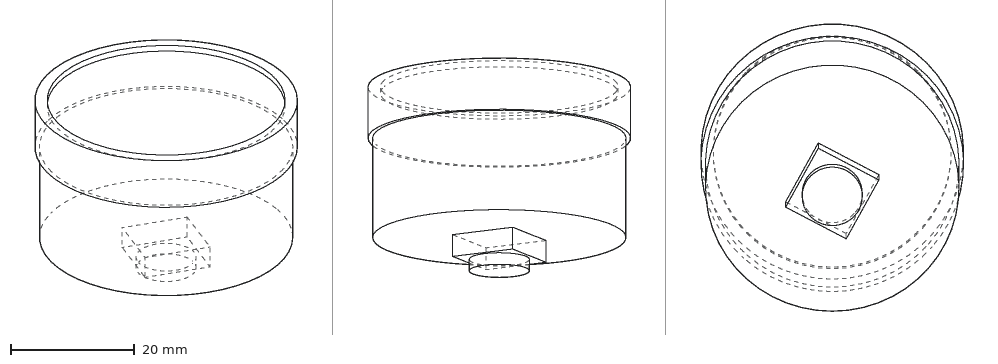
import cadquery as cq

bezel_diameter = 42.5
bezel_height = 8.5
face_diameter = 38.5
face_recess = 1.0
body_diameter = 41.0
body_height = 16.5
neck_width = 11.15
neck_height = 3.6
stud_diameter = 9.75
stud_height = 1.9

neck_bottom = stud_height
body_bottom = neck_bottom + neck_height
bezel_bottom = body_bottom + body_height
bezel_top = bezel_bottom + bezel_height


def disc(diameter, height, bottom):
    """Vertical cylinder centred on the part axis."""
    return cq.Workplane("XY").workplane(offset=bottom).circle(diameter / 2).extrude(height)


stud = disc(stud_diameter, stud_height, 0)
neck = cq.Workplane("XY").workplane(offset=neck_bottom).rect(neck_width, neck_width).extrude(neck_height)
body = disc(body_diameter, body_height, body_bottom)
bezel = disc(bezel_diameter, bezel_height, bezel_bottom)
recess = disc(face_diameter, face_recess, bezel_top - face_recess)

result = stud.union(neck).union(body).union(bezel).cut(recess)